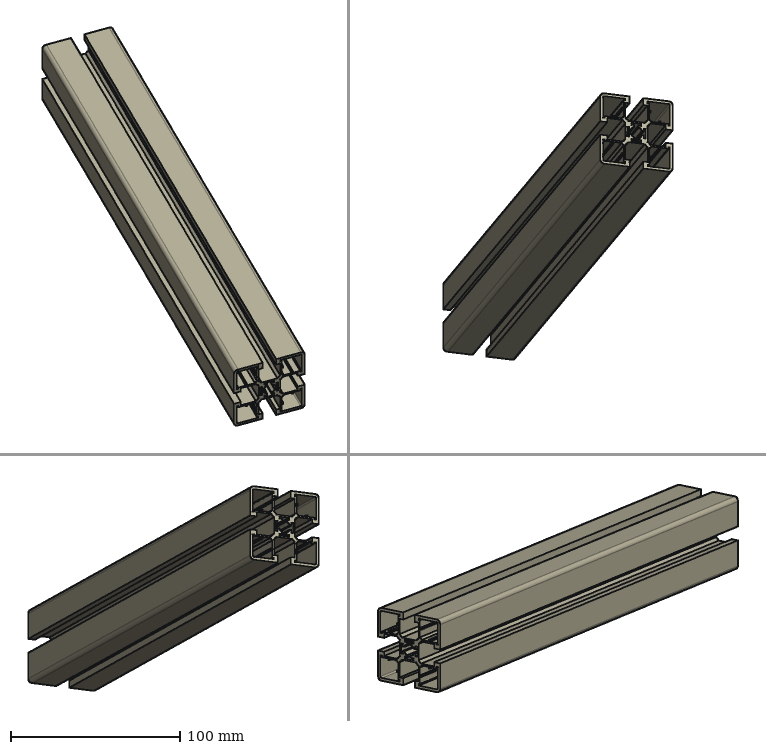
import cadquery as cq
import math

length = 304.8
side = 45.0
half_side = side / 2
corner_radius = 2.6

outer_wall = 1.8
web = 1.07

slot_opening = 8.5
slot_width = 13.7
slot_floor = slot_width / 2
slot_floor_chamfer = 1.8

lip_relief = 1.0
lip_floor = 1.68
lip_depth = outer_wall + lip_relief + lip_floor

chamber_near = slot_floor + web
chamber_far = half_side - outer_wall
chamber_corner_cut = 1.37
chamber_fillet = 1.0

rib_size = 1.0
rib_center = 14.5

core_half = slot_floor - web
bore_radius = 3.7
post_face = 3.0
hook_outer = 4.5
hook_end = 1.37

quarter_turns = [0, 90, 180, 270]


def prism(points):
    """Extrude a YZ outline over the full length."""
    return cq.Workplane("YZ").polyline(points).close().extrude(length)


def box(y_min, y_max, z_min, z_max):
    """Full-length bar with a rectangular section."""
    return prism([(y_min, z_min), (y_max, z_min), (y_max, z_max), (y_min, z_max)])


def around_axis(shape):
    """Four copies of a shape, a quarter turn apart about the X axis."""
    copies = [shape.rotate((0, 0, 0), (1, 0, 0), turn) for turn in quarter_turns]
    joined = copies[0]
    for copy in copies[1:]:
        joined = joined.add(copy)
    return joined.combine()


def slot():
    """T-slot open toward +Z."""
    mouth = box(-slot_opening / 2, slot_opening / 2, slot_floor, half_side)
    channel = box(-slot_width / 2, slot_width / 2, slot_floor, half_side - lip_depth)
    channel = channel.edges("|X and <Z").chamfer(slot_floor_chamfer)
    return mouth.union(channel)


def chamber():
    """Corner hollow in the +Y +Z quadrant, relieved into both lips and ribbed on both webs."""
    near, far = chamber_near, chamber_far
    relief_near = near - lip_relief
    relief_edge = far - lip_relief
    rib_low = rib_center - rib_size / 2
    rib_high = rib_center + rib_size / 2
    rib_top = near + rib_size
    cut = near + chamber_corner_cut
    web_side = [
        (cut, near),
        (rib_low, near),
        (rib_low, rib_top),
        (rib_high, rib_top),
        (rib_high, near),
        (relief_edge, near),
        (relief_edge, relief_near),
        (far, relief_near),
    ]
    mirrored_side = [(z, y) for y, z in reversed(web_side)]
    hollow = prism(web_side + [(far, far)] + mirrored_side)
    far_corner = cq.selectors.NearestToPointSelector((length / 2, far, far))
    return hollow.edges(far_corner).fillet(chamber_fillet)


def core_post():
    """Post in the +Y +Z corner of the core, with two hooks that follow the screw bore."""
    bore_reach = math.sqrt(bore_radius**2 - hook_end**2)
    bore_middle = bore_radius / math.sqrt(2)
    return (
        cq.Workplane("YZ")
        .moveTo(core_half, core_half)
        .lineTo(post_face, core_half)
        .lineTo(post_face, hook_outer)
        .lineTo(hook_end, hook_outer)
        .lineTo(hook_end, bore_reach)
        .threePointArc((bore_middle, bore_middle), (bore_reach, hook_end))
        .lineTo(hook_outer, hook_end)
        .lineTo(hook_outer, post_face)
        .lineTo(core_half, post_face)
        .close()
        .extrude(length)
    )


outer_bar = box(-half_side, half_side, -half_side, half_side).edges("|X").fillet(corner_radius)
core_cavity = box(-core_half, core_half, -core_half, core_half)
core_hollow = core_cavity.cut(around_axis(core_post()))

result = (
    outer_bar.cut(around_axis(slot()))
    .cut(around_axis(chamber()))
    .cut(core_hollow)
    .translate((-length / 2, 0, 0))
)